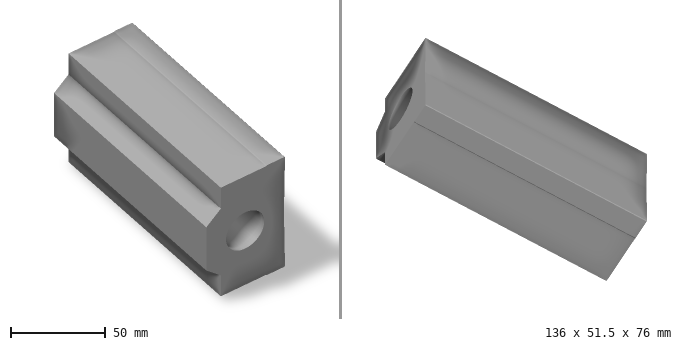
import cadquery as cq

length = 136.0
depth = 51.5
height = 76.0
half_height = height / 2

nose_depth = 9.5
nose_half_height = 15.0
nose_base_half_height = 23.1

band_depth = 12.4
band_step = 0.4
step_run = 0.5
corner_chamfer = 0.4

hollow_depth = 0.7

bore_diameter = 25.0
bore_from_front = 25.5

back_y = depth
shoulder_y = nose_depth
band_y = back_y - band_depth

upper_outline = [
    (0, nose_half_height),
    (shoulder_y, nose_base_half_height),
    (shoulder_y, half_height - band_step),
    (band_y, half_height - band_step),
    (band_y + step_run, half_height),
    (back_y - corner_chamfer, half_height),
    (back_y, half_height - corner_chamfer),
]
hollow_center = (back_y - hollow_depth, 0)
lower_outline = [(y, -z) for y, z in reversed(upper_outline)]

block = (
    cq.Workplane("YZ")
    .polyline(upper_outline + [hollow_center] + lower_outline)
    .close()
    .extrude(length)
)

bore = (
    cq.Workplane("YZ")
    .center(bore_from_front, 0)
    .circle(bore_diameter / 2)
    .extrude(length)
)

result = block.cut(bore)